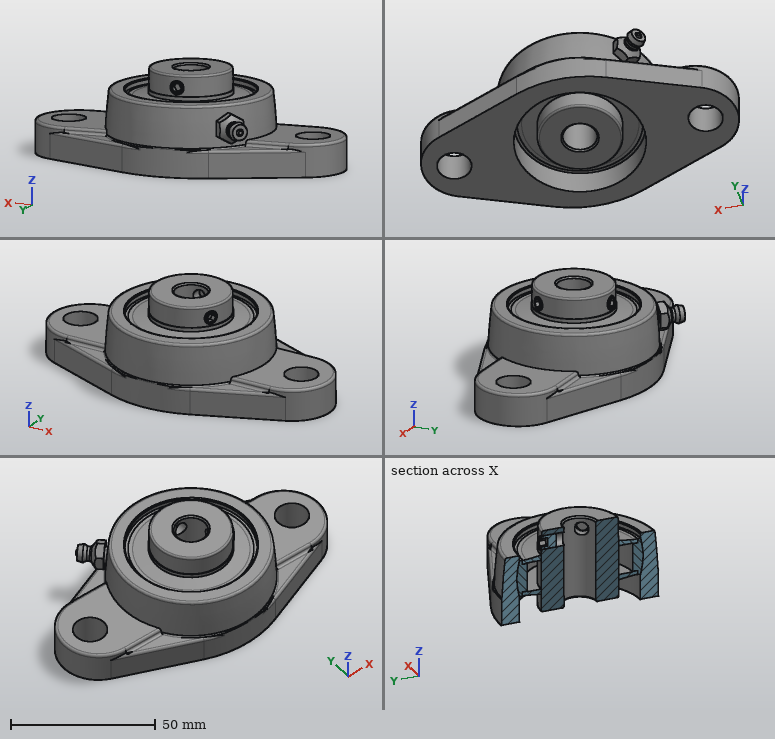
import cadquery as cq
import math


hex_sides = 6

bolt_spacing = 90.0
bolt_hole_diameter = 12.0
flange_length = 113.0
flange_width = 60.0
tip_radius = 15.2
waist_radius = 42.0
pad_height = 12.0
edge_round = 1.0
step_fillet = 1.0
web_height = pad_height - edge_round - step_fillet
tip_center = flange_length / 2 - tip_radius

hub_top = 25.5
hub_foot_radius = 29.85
hub_middle_radius = 29.35
hub_top_radius = 28.6
hub_round = 1.0
hub_foot_fillet = 0.5
hub_middle_height = (web_height + hub_top) / 2

seat_diameter = 48.0
mouth_diameter = 45.97
mouth_chamfer = 0.4
outer_ring_top = 23.5
outer_ring_bore = 40.0
seal_diameter = 43.7
seal_rim_diameter = 40.79
seal_thickness = 1.5
seal_rise = 0.65
inner_ring_top = 33.3
inner_ring_width = 31.0
inner_ring_land_diameter = 29.72
inner_ring_neck_diameter = 29.21
inner_ring_land_top = 25.6
inner_ring_round = 0.7
shaft_diameter = 12.0
shaft_chamfer = 0.6
inner_ring_bottom = inner_ring_top - inner_ring_width
outer_ring_half_width = math.sqrt(seat_diameter**2 - mouth_diameter**2) / 2
bearing_center = outer_ring_top - outer_ring_half_width

screw_diameter = 4.92
screw_height = 28.7
screw_angles = (-30.0, 90.0)
screw_outer_end = 14.95
screw_length = 6.0
screw_chamfer = 0.4
socket_flats = 3.0
socket_depth = 2.5

fitting_angle = 135.0
fitting_height = 17.4
fitting_shank_diameter = 6.0
fitting_inner_end = 26.5
fitting_hex_start = 30.1
fitting_hex_end = 34.6
fitting_hex_flats = 9.2
fitting_chamfer_start = 32.65
fitting_collar_radius = 2.85
fitting_neck_radius = 2.6
fitting_neck_start = 35.2
fitting_neck_end = 36.2
fitting_bulge_radius = 3.3
fitting_bulge = 37.55
fitting_face_radius = 2.8
fitting_face = 39.6
fitting_tip = 40.15
fitting_tip_base_radius = 1.25
fitting_tip_diameter = 1.5


def radial_plane(angle, distance, height):
    """Plane facing outward, square to a radius at the given angle around the shaft axis."""
    turn = math.radians(angle)
    outward = (math.cos(turn), math.sin(turn), 0)
    origin = (distance * outward[0], distance * outward[1], height)
    return cq.Plane(origin=origin, xDir=(-outward[1], outward[0], 0), normal=outward)


def flange_outline(height):
    """Rhombic plate: two small tip arcs and two large waist arcs joined by tangent lines."""
    waist_center = waist_radius - flange_width / 2
    centers_apart = math.hypot(tip_center, waist_center)
    tangent = math.atan2(waist_center, tip_center) + math.acos((waist_radius - tip_radius) / centers_apart)
    waist_x = waist_radius * math.cos(tangent)
    waist_y = waist_radius * math.sin(tangent) - waist_center
    tip_x = tip_center + tip_radius * math.cos(tangent)
    tip_y = tip_radius * math.sin(tangent)
    return (
        cq.Workplane("XY")
        .moveTo(-waist_x, waist_y)
        .threePointArc((0, flange_width / 2), (waist_x, waist_y))
        .lineTo(tip_x, tip_y)
        .threePointArc((flange_length / 2, 0), (tip_x, -tip_y))
        .lineTo(waist_x, -waist_y)
        .threePointArc((0, -flange_width / 2), (-waist_x, -waist_y))
        .lineTo(-tip_x, -tip_y)
        .threePointArc((-flange_length / 2, 0), (-tip_x, tip_y))
        .close()
        .extrude(height)
    )


def make_flange():
    web = flange_outline(web_height).faces(">Z").edges().fillet(edge_round)
    pads = (
        cq.Workplane("XY")
        .slot2D(flange_length, 2 * tip_radius)
        .extrude(pad_height)
        .faces(">Z")
        .edges()
        .fillet(edge_round)
    )
    fillet_y = tip_radius + step_fillet
    fillet_z = web_height + step_fillet
    corner = step_fillet * math.sqrt(0.5)
    fillet = (
        cq.Workplane("YZ")
        .moveTo(tip_radius, web_height)
        .lineTo(fillet_y, web_height)
        .threePointArc((fillet_y - corner, fillet_z - corner), (tip_radius, fillet_z))
        .close()
        .extrude(tip_center, both=True)
    )
    fillets = fillet.union(fillet.mirror("XZ")).intersect(flange_outline(pad_height))
    return web.union(pads).union(fillets)


def make_hub():
    hub = (
        cq.Workplane("XZ")
        .lineTo(hub_foot_radius, 0)
        .lineTo(hub_foot_radius, web_height)
        .threePointArc((hub_middle_radius, hub_middle_height), (hub_top_radius, hub_top))
        .lineTo(0, hub_top)
        .close()
        .revolve(360, (0, 0), (0, 1))
        .faces(">Z")
        .edges()
        .fillet(hub_round)
    )
    fillet_r = hub_foot_radius + hub_foot_fillet
    fillet_z = web_height + hub_foot_fillet
    corner = hub_foot_fillet * math.sqrt(0.5)
    foot_fillet = (
        cq.Workplane("XZ")
        .moveTo(hub_middle_radius, 0)
        .lineTo(fillet_r, 0)
        .lineTo(fillet_r, web_height)
        .threePointArc((fillet_r - corner, fillet_z - corner), (hub_foot_radius, fillet_z))
        .lineTo(hub_middle_radius, fillet_z)
        .close()
        .revolve(360, (0, 0), (0, 1))
    )
    return hub.union(foot_fillet).intersect(flange_outline(hub_top))


def make_housing():
    seat = cq.Workplane("XY").sphere(seat_diameter / 2).translate((0, 0, bearing_center))
    mouth = cq.Workplane("XY").circle(mouth_diameter / 2).extrude(hub_top)
    mouth_bevel = (
        cq.Workplane("XY", origin=(0, 0, hub_top))
        .circle(mouth_diameter / 2 + mouth_chamfer)
        .workplane(offset=-mouth_chamfer)
        .circle(mouth_diameter / 2)
        .loft()
    )
    bolt_holes = (
        cq.Workplane("XY")
        .rarray(bolt_spacing, 1, 2, 1)
        .circle(bolt_hole_diameter / 2)
        .extrude(pad_height)
    )
    fitting_hole = (
        cq.Workplane(radial_plane(fitting_angle, fitting_inner_end, fitting_height))
        .circle(fitting_shank_diameter / 2)
        .extrude(fitting_hex_start - fitting_inner_end)
    )
    housing = make_flange().union(make_hub())
    for opening in (seat, mouth, mouth_bevel, bolt_holes, fitting_hole):
        housing = housing.cut(opening)
    return housing


def make_outer_ring():
    """Ring with a spherical outside and flat faces, recessed at both ends for the seals."""
    face_radius = mouth_diameter / 2
    bore_radius = outer_ring_bore / 2
    seal_radius = seal_diameter / 2
    seal_shelf = outer_ring_half_width - seal_thickness
    return (
        cq.Workplane("XZ")
        .moveTo(bore_radius, -seal_shelf)
        .lineTo(seal_radius, -seal_shelf)
        .lineTo(seal_radius, -outer_ring_half_width)
        .lineTo(face_radius, -outer_ring_half_width)
        .threePointArc((seat_diameter / 2, 0), (face_radius, outer_ring_half_width))
        .lineTo(seal_radius, outer_ring_half_width)
        .lineTo(seal_radius, seal_shelf)
        .lineTo(bore_radius, seal_shelf)
        .close()
        .revolve(360, (0, 0), (0, 1))
        .translate((0, 0, bearing_center))
    )


def make_seals():
    """Two mirrored annular seals with a flat rim and a shallow cone rising toward the inner ring."""
    inner_radius = inner_ring_land_diameter / 2
    seal_shelf = outer_ring_half_width - seal_thickness
    upper_seal = (
        cq.Workplane("XZ")
        .moveTo(inner_radius, seal_shelf)
        .lineTo(seal_diameter / 2, seal_shelf)
        .lineTo(seal_diameter / 2, outer_ring_half_width)
        .lineTo(seal_rim_diameter / 2, outer_ring_half_width)
        .lineTo(inner_radius, outer_ring_half_width + seal_rise)
        .close()
        .revolve(360, (0, 0), (0, 1))
    )
    lower_seal = upper_seal.mirror("XY")
    return [seal.translate((0, 0, bearing_center)) for seal in (upper_seal, lower_seal)]


def make_inner_ring():
    land_height = inner_ring_land_top - inner_ring_bottom
    ring = (
        cq.Workplane("XY", origin=(0, 0, inner_ring_bottom))
        .circle(inner_ring_land_diameter / 2)
        .extrude(land_height)
        .faces(">Z")
        .workplane()
        .circle(inner_ring_neck_diameter / 2)
        .extrude(inner_ring_width - land_height)
        .faces("<Z or >Z")
        .edges()
        .fillet(inner_ring_round)
        .faces(">Z")
        .workplane()
        .hole(shaft_diameter)
    )
    shaft_edges = cq.selectors.RadiusNthSelector(0)
    ring = ring.faces("<Z or >Z").edges(shaft_edges).chamfer(shaft_chamfer)
    for angle in screw_angles:
        hole = (
            cq.Workplane(radial_plane(angle, 0, screw_height))
            .circle(screw_diameter / 2)
            .extrude(inner_ring_land_diameter)
        )
        ring = ring.cut(hole)
    return ring


def make_set_screw(angle):
    """Headless screw with a hexagon socket in its outer end."""
    socket = (
        cq.Workplane(radial_plane(angle, screw_outer_end, screw_height))
        .transformed(rotate=(0, 0, 180 / hex_sides))
        .polygon(hex_sides, socket_flats, circumscribed=True)
        .extrude(-socket_depth)
    )
    return (
        cq.Workplane(radial_plane(angle, screw_outer_end, screw_height))
        .circle(screw_diameter / 2)
        .extrude(-screw_length)
        .edges()
        .chamfer(screw_chamfer)
        .cut(socket)
    )


def make_grease_fitting():
    shank_radius = fitting_shank_diameter / 2
    hex_corner_radius = fitting_hex_flats / math.sqrt(3)
    hexagon = (
        cq.Workplane("XY", origin=(0, 0, fitting_hex_start))
        .polygon(hex_sides, fitting_hex_flats, circumscribed=True)
        .extrude(fitting_hex_end - fitting_hex_start)
    )
    bevel = (
        cq.Workplane("XZ")
        .moveTo(0, fitting_hex_start)
        .lineTo(hex_corner_radius, fitting_hex_start)
        .lineTo(hex_corner_radius, fitting_chamfer_start)
        .lineTo(fitting_collar_radius, fitting_hex_end)
        .lineTo(0, fitting_hex_end)
        .close()
        .revolve(360, (0, 0), (0, 1))
    )
    stem = (
        cq.Workplane("XZ")
        .moveTo(0, fitting_inner_end)
        .lineTo(shank_radius, fitting_inner_end)
        .lineTo(shank_radius, fitting_hex_start)
        .lineTo(fitting_collar_radius, fitting_hex_end)
        .lineTo(fitting_neck_radius, fitting_neck_start)
        .lineTo(fitting_neck_radius, fitting_neck_end)
        .lineTo(fitting_bulge_radius, fitting_bulge)
        .lineTo(fitting_face_radius, fitting_face)
        .lineTo(fitting_tip_base_radius, fitting_face)
        .lineTo(fitting_tip_diameter / 2, fitting_tip)
        .lineTo(0, fitting_tip)
        .close()
        .revolve(360, (0, 0), (0, 1))
    )
    fitting = hexagon.intersect(bevel).union(stem)
    return cq.Workplane(fitting.val().moved(radial_plane(fitting_angle, 0, fitting_height).location))


housing = make_housing()
outer_ring = make_outer_ring()
inner_ring = make_inner_ring()
seals = make_seals()
set_screws = [make_set_screw(angle) for angle in screw_angles]
grease_fitting = make_grease_fitting()

result = cq.Compound.makeCompound(
    [
        housing.val(),
        outer_ring.val(),
        inner_ring.val(),
        *[seal.val() for seal in seals],
        *[screw.val() for screw in set_screws],
        grease_fitting.val(),
    ]
)